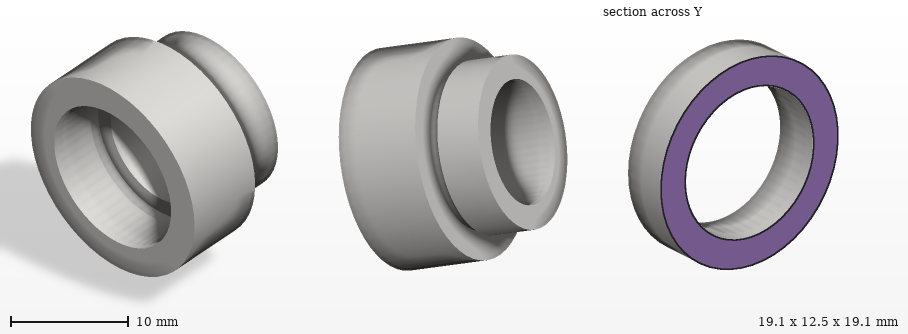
import cadquery as cq

collar_diameter = 19.05
collar_length = 7.5
groove_diameter = 14.0
groove_width = 1.0
spigot_diameter = 15.0
spigot_length = 4.0
total_length = collar_length + groove_width + spigot_length

bore_diameter = 10.8
socket_diameter = 13.6
socket_depth = 5.5
undercut_diameter = 13.75
undercut_width = 1.0


def cylinder(diameter, start, length):
    """Solid cylinder about the Y axis, running from start towards +Y."""
    base = cq.Workplane("XZ", origin=(0, start, 0))
    return base.circle(diameter / 2).extrude(-length)


front_face = -total_length / 2
groove_start = front_face + collar_length
spigot_start = groove_start + groove_width

collar = cylinder(collar_diameter, front_face, collar_length)
groove = cylinder(groove_diameter, groove_start, groove_width)
spigot = cylinder(spigot_diameter, spigot_start, spigot_length)
bore = cylinder(bore_diameter, front_face, total_length)
socket = cylinder(socket_diameter, front_face, socket_depth)

undercut = cylinder(undercut_diameter, front_face + socket_depth - undercut_width, undercut_width)

body = collar.union(groove).union(spigot)
result = body.cut(bore).cut(socket).cut(undercut)